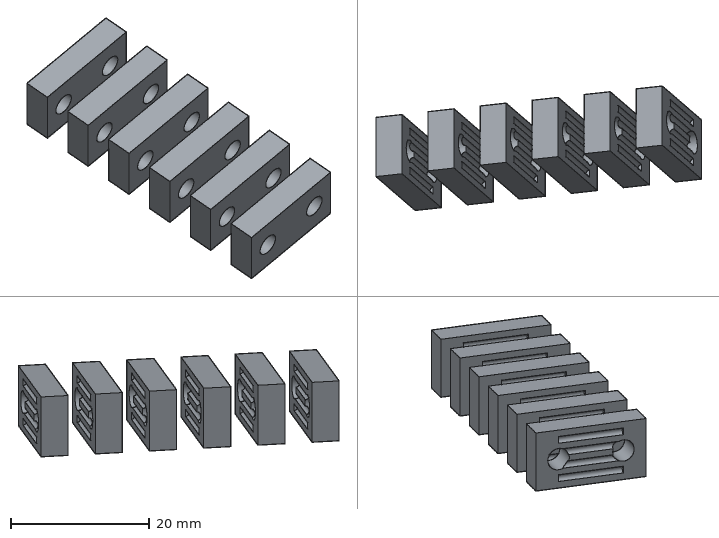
import cadquery as cq

row_length = 44.0
plate_count = 6
plate_thickness = 4.0
plate_width = 17.0
plate_height = 9.0
plate_pitch = (row_length - plate_thickness) / (plate_count - 1)

hole_diameter = 3.3
hole_spacing = 10.0

groove_count = 4
groove_diameter = 1.0
groove_pitch = 2.0
groove_length = hole_spacing


def screw_holes(face_x):
    """Two cylinders that run through a plate from its -X face."""
    return (
        cq.Workplane("YZ", origin=(face_x, 0, 0))
        .pushPoints([(-hole_spacing / 2, 0), (hole_spacing / 2, 0)])
        .circle(hole_diameter / 2)
        .extrude(plate_thickness)
    )


def grip_grooves(face_x):
    """Parallel cylinders with their axes in the -X face, each sunk by its radius."""
    return (
        cq.Workplane("XZ", origin=(face_x, 0, 0))
        .rarray(0.45, groove_pitch, 1, groove_count)
        .circle(groove_diameter / 2)
        .extrude(groove_length / 2, both=True)
    )


def clamp_plate(face_x):
    """One plate with its -X face at face_x, centred on Y and Z."""
    block = cq.Workplane("YZ", origin=(face_x, 0, 0)).rect(plate_width, plate_height).extrude(plate_thickness)
    return block.cut(screw_holes(face_x)).cut(grip_grooves(face_x))


clamp_plates = []
for index in range(plate_count):
    plate_face_x = -row_length / 2 + index * plate_pitch
    clamp_plates.append(clamp_plate(plate_face_x).val())

result = cq.Compound.makeCompound(clamp_plates)